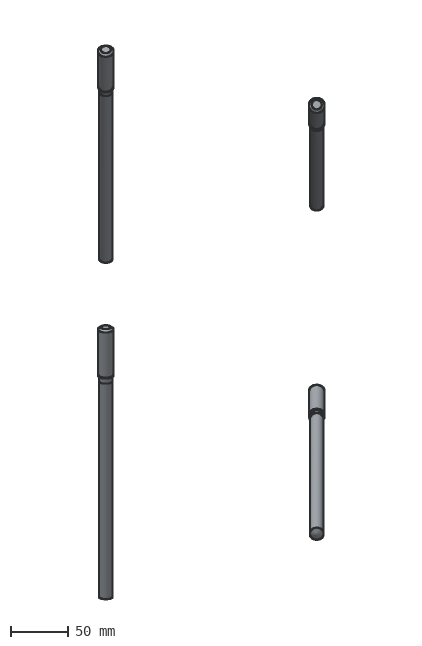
import cadquery as cq
import math

total_length = 258.0
shank_diameter = 14.0
drill_diameter = 12.0
point_angle = 140.0

shank_length = 46.2
holder_length = 51.0

top_chamfer_height = 2.0
top_chamfer_width = 2.5
bottom_chamfer_height = 1.3
bottom_chamfer_width = 0.5

shank_radius = shank_diameter / 2
drill_radius = drill_diameter / 2
shank_bottom_z = total_length - shank_length
holder_bottom_z = total_length - holder_length
point_height = drill_radius / math.tan(math.radians(point_angle / 2))


def revolve_about_z(profile):
    """Turn a closed (radius, Z) outline around the Z axis."""
    return cq.Workplane("XZ").polyline(profile).close().revolve(360, (0, 0), (0, 1))


def make_holder():
    """Shank with a chamfer at each end, and the short neck below it."""
    return revolve_about_z([
        (0, holder_bottom_z),
        (drill_radius, holder_bottom_z),
        (drill_radius, shank_bottom_z),
        (shank_radius - bottom_chamfer_width, shank_bottom_z),
        (shank_radius, shank_bottom_z + bottom_chamfer_height),
        (shank_radius, total_length - top_chamfer_height),
        (shank_radius - top_chamfer_width, total_length),
        (0, total_length),
    ])


def make_drill():
    """Plain cylinder ending in a conical point."""
    return revolve_about_z([
        (0, 0),
        (drill_radius, point_height),
        (drill_radius, holder_bottom_z),
        (0, holder_bottom_z),
    ])


holder = make_holder()
drill = make_drill()

result = cq.Compound.makeCompound([holder.val(), drill.val()])